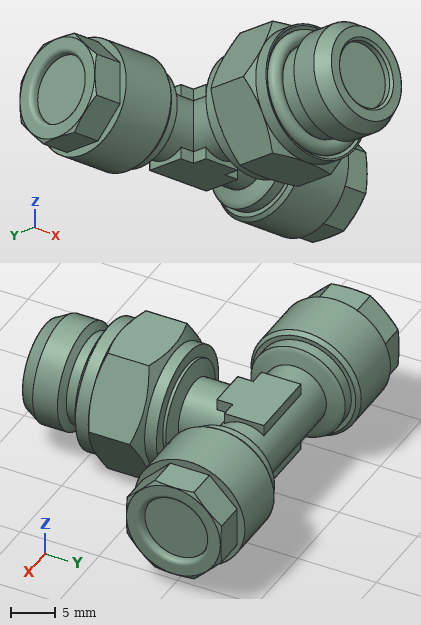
import cadquery as cq
import math


pipe_radius = 3.97
block_half_length = 4.5
block_half_width = 2.5
block_half_height = 4.5

arm_length = 21.6
shoulder_start = 7.85
shoulder_cone_angle = 15.0
shoulder_cone_radius = 5.45
neck_start = 8.55
neck_radius = 6.0
collar_start = 10.02
collar_radius = 7.0
collar_chamfer_length = 0.5
collar_chamfer_height = 0.45
octagon_sides = 8
octagon_start = 17.63
octagon_flats = 2 * neck_radius
octagon_chamfer_angle = 25.0
octagon_face_radius = 5.95
run_bore_radius = 4.15
run_bore_entry_fillet = 0.5
bore_depth = 1.0

overall_depth = 34.6
branch_length = overall_depth - collar_radius
branch_cone_start = 8.65
branch_cone_end = 9.15
ring_start = 9.55
ring_radius = 7.5
hexagon_sides = 6
hexagon_start = 11.05
hexagon_end = 17.95
hexagon_flats = 16.0
hexagon_chamfer_angle = 30.0
flange_radius = hexagon_flats / 2
flange_end = 19.6
seal_centre_radius = 6.45
seal_tube_radius = 0.9
seal_position = 19.45
seal_seat_radius = 7.78
seal_seat_depth = 0.78
stud_neck_radius = 5.57
thread_radius = 6.55
thread_start = 22.05
thread_lead_in = 0.6
thread_end = 25.8
branch_bore_radius = 3.97
branch_bore_chamfer = 0.3


def turned(outline):
    """Revolve (distance along X, radius) points, closed on the X axis, about X."""
    closed = [(outline[0][0], 0)] + outline + [(outline[-1][0], 0)]
    return cq.Workplane("XY").polyline(closed).close().revolve(360, (0, 0, 0), (1, 0, 0))


def prism(sides, across_flats, start, end, turn):
    """Regular prism along X between two positions, turned about its axis by an angle."""
    across_corners = across_flats / math.cos(math.pi / sides)
    body = cq.Workplane("YZ").workplane(offset=start).polygon(sides, across_corners).extrude(end - start)
    return body.rotate((0, 0, 0), (1, 0, 0), turn)


def cone_run(radius_step, angle):
    """Axial length of a cone that changes radius by radius_step, angle from the end face."""
    return radius_step * math.tan(math.radians(angle))


def make_octagon():
    """Octagonal nut end with flats facing up and down and a chamfered outer face."""
    corner_radius = octagon_flats / 2 / math.cos(math.pi / octagon_sides)
    chamfer = cone_run(corner_radius - octagon_face_radius, octagon_chamfer_angle)
    envelope = turned([
        (octagon_start, corner_radius),
        (arm_length - chamfer, corner_radius),
        (arm_length, octagon_face_radius),
    ])
    half_side_angle = 180 / octagon_sides
    octagon = prism(octagon_sides, octagon_flats, octagon_start, arm_length, half_side_angle)
    return octagon.intersect(envelope)


def make_run_arm():
    """Right-hand run arm along +X, from its shoulder to the bored end of its nut."""
    cone_end = shoulder_start + cone_run(shoulder_cone_radius - pipe_radius, shoulder_cone_angle)
    neck = (
        cq.Workplane("XY")
        .moveTo(shoulder_start, 0)
        .lineTo(shoulder_start, pipe_radius)
        .lineTo(cone_end, shoulder_cone_radius)
        .tangentArcPoint((neck_start, neck_radius), relative=False)
        .lineTo(octagon_start, neck_radius)
        .lineTo(octagon_start, 0)
        .close()
        .revolve(360, (0, 0, 0), (1, 0, 0))
    )
    collar = turned([
        (collar_start, collar_radius - collar_chamfer_height),
        (collar_start + collar_chamfer_length, collar_radius),
        (octagon_start, collar_radius),
    ])
    bore = turned([(arm_length - bore_depth, run_bore_radius), (arm_length, run_bore_radius)])
    arm = neck.union(collar).union(make_octagon()).cut(bore)
    mouth = cq.selectors.RadiusNthSelector(0)
    return arm.faces(">X").edges("%CIRCLE").edges(mouth).fillet(run_bore_entry_fillet)


def make_hexagon():
    """Hexagon with flats facing up and down, chamfered at both ends."""
    corner_radius = hexagon_flats / 2 / math.cos(math.pi / hexagon_sides)
    back_chamfer = cone_run(corner_radius - ring_radius, hexagon_chamfer_angle)
    front_chamfer = cone_run(corner_radius - flange_radius, hexagon_chamfer_angle)
    envelope = turned([
        (hexagon_start, ring_radius),
        (hexagon_start + back_chamfer, corner_radius),
        (hexagon_end - front_chamfer, corner_radius),
        (hexagon_end, flange_radius),
    ])
    return prism(hexagon_sides, hexagon_flats, hexagon_start, hexagon_end, 0).intersect(envelope)


def make_branch():
    """Stud branch, built along +X and turned to point along -Y."""
    body = turned([
        (0, pipe_radius),
        (branch_cone_start, pipe_radius),
        (branch_cone_end, neck_radius),
        (ring_start, neck_radius),
        (ring_start, ring_radius),
        (hexagon_end, ring_radius),
        (hexagon_end, flange_radius),
        (flange_end, flange_radius),
        (flange_end, seal_seat_radius),
        (flange_end - seal_seat_depth, seal_seat_radius - seal_seat_depth),
        (seal_position, stud_neck_radius),
        (thread_start, stud_neck_radius),
        (thread_start + thread_lead_in, thread_radius),
        (thread_end, thread_radius),
        (branch_length, stud_neck_radius),
    ])
    seal = cq.Solid.makeTorus(
        seal_centre_radius, seal_tube_radius, cq.Vector(seal_position, 0, 0), cq.Vector(1, 0, 0)
    )
    bore = turned([
        (branch_length - bore_depth, branch_bore_radius),
        (branch_length - branch_bore_chamfer, branch_bore_radius),
        (branch_length, branch_bore_radius + branch_bore_chamfer),
    ])
    branch = body.union(make_hexagon()).union(cq.Workplane(seal)).cut(bore)
    return branch.rotate((0, 0, 0), (0, 0, 1), -90)


def make_centre_block():
    """Tee-shaped block, flat above and below the pipes."""
    height = 2 * block_half_height
    bar = cq.Workplane("XY").box(2 * block_half_length, 2 * block_half_width, height)
    stem = cq.Workplane("XY").box(2 * block_half_width, block_half_length, height)
    return bar.union(stem.translate((0, -block_half_length / 2, 0)))


right_arm = make_run_arm()
left_arm = right_arm.mirror("YZ")
run_pipe = turned([(-collar_start, pipe_radius), (collar_start, pipe_radius)])
result = run_pipe.union(right_arm).union(left_arm).union(make_branch()).union(make_centre_block())